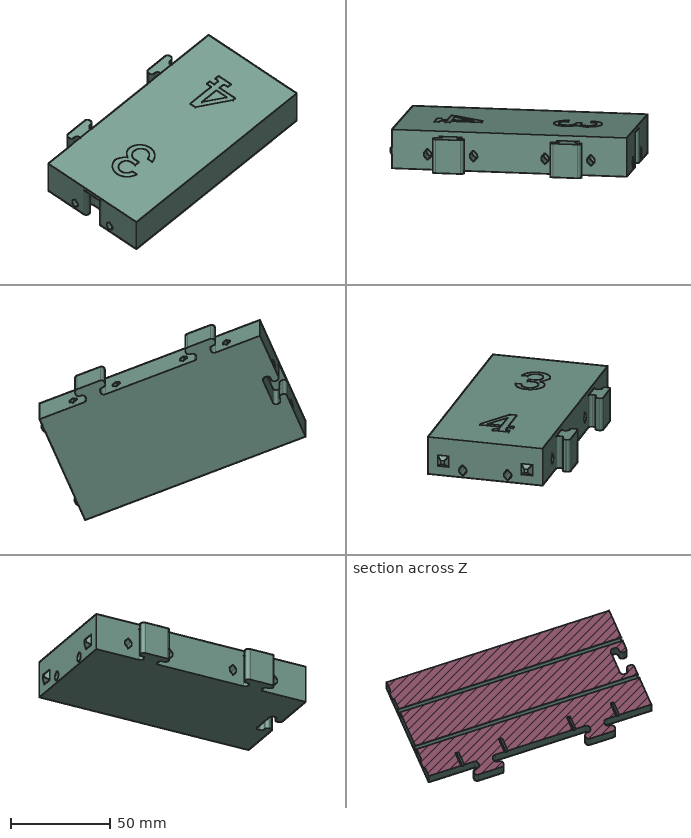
import cadquery as cq

overall_length = 122.0
module = overall_length / 61

block_length = 60 * module
block_width = 30 * module
block_height = 10 * module

neck_width = 4 * module
neck_length = 2 * module
bar_length = 8 * module
bar_thickness = 2 * module
connector_round = 1.7
connector_pitch = 30 * module
peg_height = 17.3
slot_height = 17.8

hole_radius = module
hole_offset = 11.7
side_hole_height = 7.8
side_hole_depth = 8.0
through_hole_height = 3.8
bump_offset = 21.8
bump_reach = module
bump_base = 5.9

inlay_depth = 1.0
four_foot = 42.3
three_foot = -17.4
three_shift = 0.5

left_face = -block_width / 2
front_face = -block_length / 2
back_face = block_length / 2


def slab(width, near_y, far_y, height):
    """Box centred on X = 0, standing on Z = 0, between two Y positions."""
    return (
        cq.Workplane("XY")
        .center(0, (near_y + far_y) / 2)
        .rect(width, far_y - near_y)
        .extrude(height)
    )


def connector(height):
    """Connector with rounded corners that reaches from the XZ plane toward +Y.

    A temporary wall behind the neck lets the root corners be filleted; it is cut away afterwards.
    """
    wall = slab(2 * bar_length, -module, 0, height)
    neck = slab(neck_width, 0, neck_length, height)
    bar = slab(bar_length, neck_length, neck_length + bar_thickness, height)
    tee = wall.union(neck).union(bar)
    corners = tee.edges("|Z").edges(">Y or (not(<X or >X))")
    return corners.fillet(connector_round).cut(wall)


def side_peg(center_y):
    peg = connector(peg_height).rotate((0, 0, 0), (0, 0, 1), 90)
    return peg.translate((left_face, center_y, 0))


def front_slot():
    return connector(slot_height).translate((0, front_face, 0))


def pointed_prism(length):
    """Bar along +Y with round flanks and a right-angled point above and below its axis."""
    flank = hole_radius / 2**0.5
    point = hole_radius * 2**0.5
    return (
        cq.Workplane("XZ")
        .moveTo(0, point)
        .lineTo(flank, flank)
        .threePointArc((hole_radius, 0), (flank, -flank))
        .lineTo(0, -point)
        .lineTo(-flank, -flank)
        .threePointArc((-hole_radius, 0), (-flank, flank))
        .close()
        .extrude(-length)
    )


def through_hole(center_x):
    return pointed_prism(block_length).translate((center_x, front_face, through_hole_height))


def side_hole(center_y):
    hole = pointed_prism(side_hole_depth).rotate((0, 0, 0), (0, 0, 1), -90)
    return hole.translate((left_face, center_y, side_hole_height))


def bump(center_x):
    """Square pyramid with 45 degree sides and a flat tip, standing out of the back face."""
    tip_width = bump_base - 2 * bump_reach
    return (
        cq.Workplane("XZ", origin=(center_x, back_face, side_hole_height))
        .rect(bump_base, bump_base)
        .workplane(offset=-bump_reach)
        .rect(tip_width, tip_width)
        .loft(ruled=True)
    )


def four():
    """Upright digit with its foot on Y = 0 and its face on Z = 0."""
    outline = [
        (-1.3, 0), (7.2, 0), (7.2, 2.3), (4.9, 2.7), (4.9, 5.7), (7.9, 5.7), (7.9, 8.0),
        (4.9, 8.0), (4.9, 23.8), (1.3, 23.8), (-9.4, 7.3), (-9.4, 5.7), (1.3, 5.7), (1.3, 2.7), (-1.3, 2.3),
    ]
    counter = [(1.3, 8.0), (-5.9, 8.0), (1.3, 19.0)]
    return cq.Workplane("XY").polyline(outline).close().polyline(counter).close().extrude(-inlay_depth)


def three():
    """Upright digit with its foot on Y = 0 and its face on Z = 0."""
    return (
        cq.Workplane("XY")
        .moveTo(-7.4, 6.5)
        .threePointArc((-0.1, 0), (7.4, 6.7))
        .threePointArc((6.3, 10.4), (3.7, 12.4))
        .threePointArc((6.1, 15.0), (7.3, 17.8))
        .threePointArc((-0.1, 24.5), (-7.4, 18.0))
        .lineTo(-4.4, 18.0)
        .threePointArc((0, 21.8), (3.8, 17.8))
        .threePointArc((2.9, 15.0), (0.7, 13.8))
        .lineTo(-2.7, 13.8)
        .lineTo(-2.7, 11.1)
        .lineTo(0.7, 11.1)
        .threePointArc((3.3, 9.8), (4.3, 7.0))
        .threePointArc((-0.1, 2.4), (-4.3, 6.5))
        .close()
        .extrude(-inlay_depth)
    )


def inlay(digit, center_x, foot_y):
    """Turn a digit upside down and set its face flush with the top of the block."""
    return digit.rotate((0, 0, 0), (0, 0, 1), 180).translate((center_x, foot_y, block_height))


def housing():
    body = cq.Workplane("XY").box(block_width, block_length, block_height, centered=(True, True, False))
    for side in (-1, 1):
        peg_y = side * connector_pitch / 2
        body = body.union(side_peg(peg_y))
        body = body.cut(side_hole(peg_y - hole_offset)).cut(side_hole(peg_y + hole_offset))
        body = body.cut(through_hole(side * hole_offset))
        body = body.union(bump(side * bump_offset))
    return body.cut(front_slot())


digit_four = inlay(four(), 0, four_foot)
digit_three = inlay(three(), three_shift, three_foot)
block = housing().cut(digit_four).cut(digit_three)

result = cq.Compound.makeCompound([block.val(), digit_four.val(), digit_three.val()])